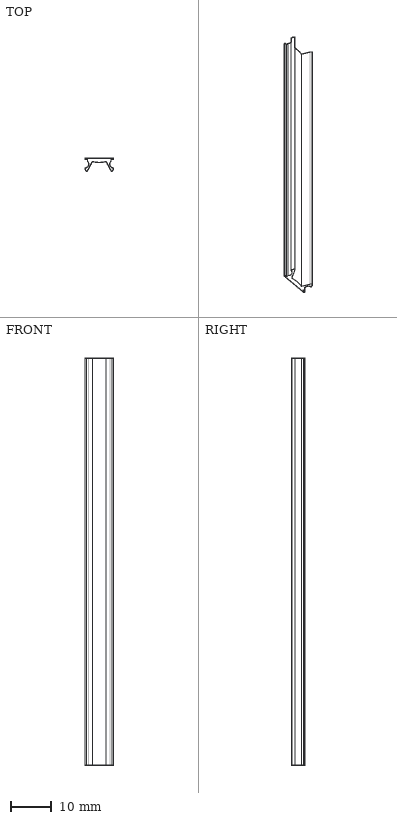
import cadquery as cq

length = 100.0
width = 7.0
depth = 3.3
half_width = width / 2

lip_thickness = 0.3
body_half_width = 2.9
body_depth = 0.8

inner_root_x = 1.7
inner_root_depth = 0.9
crown_depth = 1.1

neck_x = 2.6
neck_depth = 1.4
foot_top_depth = 2.4
foot_inner_x = 2.7
foot_inner_depth = 2.8
toe_x = 3.1
foot_side_x = 3.4
foot_side_depth = 2.9


def make_half():
    """Right half of the section: plate, lip and leg."""
    return (
        cq.Workplane("XY")
        .moveTo(0, -inner_root_depth)
        .lineTo(inner_root_x, -inner_root_depth)
        .lineTo(foot_inner_x, -foot_inner_depth)
        .tangentArcPoint((toe_x, -depth), relative=False)
        .threePointArc((foot_side_x, -foot_side_depth), (half_width, -foot_top_depth))
        .threePointArc((neck_x, -neck_depth), (body_half_width, -body_depth))
        .lineTo(body_half_width, -lip_thickness)
        .lineTo(half_width, -lip_thickness)
        .lineTo(half_width, 0)
        .lineTo(0, 0)
        .close()
        .extrude(length)
    )


def make_crown():
    """Circular segment standing on the front of the plate."""
    return (
        cq.Workplane("XY")
        .moveTo(-inner_root_x, -inner_root_depth)
        .threePointArc((0, -crown_depth), (inner_root_x, -inner_root_depth))
        .close()
        .extrude(length)
    )


right_half = make_half()
left_half = right_half.mirror("YZ")
result = right_half.union(left_half).union(make_crown()).clean()